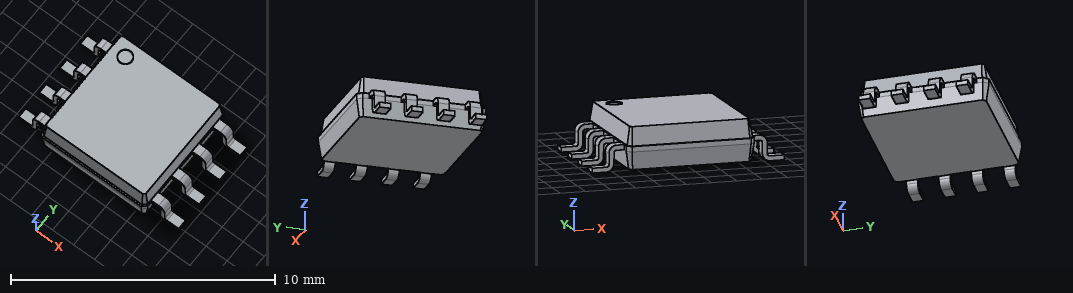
import cadquery as cq
import math

span_x = 7.62
height = 1.75
standoff = 0.1

band_x = 5.075
band_y = 5.13
band_corner = 0.18
upper_side = 4.97
upper_corner = 0.15
draft_run = 0.115

leads_per_side = 4
lead_pitch = 1.27
lead_width = 0.45
lead_thickness = 0.2
inner_radius = 0.1
outer_radius = inner_radius + lead_thickness
leg_setback = 0.67
lead_embed = 0.23

marker_diameter = 0.6
marker_x = -1.7
marker_y = 1.74
marker_depth = 0.05

band_middle = (standoff + height) / 2
band_bottom = band_middle - lead_thickness / 2
band_top = band_middle + lead_thickness / 2
block_height = height - band_top
draft_angle = math.degrees(math.atan(draft_run / block_height))


def chamfered_outline(z, size_x, size_y, corner):
    """Rectangle with cut corners, centred on the Z axis at height z."""
    half_x = size_x / 2
    half_y = size_y / 2
    points = [
        (half_x, half_y - corner),
        (half_x - corner, half_y),
        (corner - half_x, half_y),
        (-half_x, half_y - corner),
        (-half_x, corner - half_y),
        (corner - half_x, -half_y),
        (half_x - corner, -half_y),
        (half_x, corner - half_y),
    ]
    return cq.Workplane("XY", origin=(0, 0, z)).polyline(points).close()


def make_body():
    band = chamfered_outline(band_bottom, band_x, band_y, band_corner).extrude(lead_thickness)
    upper = chamfered_outline(band_top, upper_side, upper_side, upper_corner).extrude(
        block_height, taper=draft_angle
    )
    lower = chamfered_outline(band_bottom, band_x, band_y, band_corner).extrude(
        -block_height, taper=draft_angle
    )
    return band.union(upper).union(lower)


def make_left_lead():
    """Gull-wing lead on the -X side, centred on Y = 0."""
    tip = -span_x / 2
    leg_outer = tip + leg_setback
    leg_inner = leg_outer + lead_thickness
    root = -band_x / 2 + lead_embed
    profile = (
        cq.Workplane("XZ", origin=(0, lead_width / 2, 0))
        .moveTo(tip, 0)
        .lineTo(leg_inner - outer_radius, 0)
        .tangentArcPoint((leg_inner, outer_radius), relative=False)
        .lineTo(leg_inner, band_bottom - inner_radius)
        .tangentArcPoint((leg_inner + inner_radius, band_bottom), relative=False)
        .lineTo(root, band_bottom)
        .lineTo(root, band_top)
        .lineTo(leg_outer + outer_radius, band_top)
        .tangentArcPoint((leg_outer, band_top - outer_radius), relative=False)
        .lineTo(leg_outer, outer_radius)
        .tangentArcPoint((leg_outer - inner_radius, lead_thickness), relative=False)
        .lineTo(tip, lead_thickness)
        .close()
    )
    return profile.extrude(lead_width)


def make_marker():
    floor = height - marker_depth
    return (
        cq.Workplane("XY", origin=(marker_x, marker_y, floor))
        .circle(marker_diameter / 2)
        .extrude(marker_depth)
    )


result = make_body().cut(make_marker())

left_lead = make_left_lead()
right_lead = left_lead.mirror("YZ")
for index in range(leads_per_side):
    lead_y = (index - (leads_per_side - 1) / 2) * lead_pitch
    result = result.union(left_lead.translate((0, lead_y, 0)))
    result = result.union(right_lead.translate((0, lead_y, 0)))